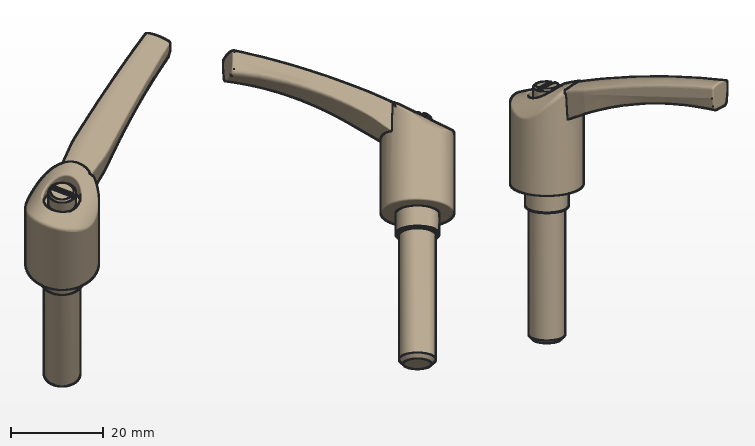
import cadquery as cq
import math


stud_diameter = 8.0
stud_length = 30.0
stud_tip_diameter = 6.1
stud_tip_height = 1.0
collar_diameter = 9.5
collar_height = 5.0
collar_chamfer = 0.3

hub_diameter = 16.0
hub_radius = hub_diameter / 2
hub_bottom_z = collar_height
hub_bottom_fillet = 0.4
hub_edge_fillet = 0.8
crown_radius = 9.2
crown_z = 27.2
crown_slope = 0.34

recess_diameter = 8.0
recess_rim_fillet = 0.35
recess_floor_z = 24.0
screw_diameter = 6.0
screw_top_z = 27.7
screw_chamfer = 0.5
slot_width = 1.0
slot_depth = 0.6

tip_y = 44.0
tip_top_z = 35.96
tip_bottom_z = 29.9
tip_fillet = 0.4
top_arc_radius = 170.0
top_tip_slope = 0.065
bottom_arc_radius = 69.5
bottom_tip_slope = -0.06
tip_half_width = 3.08
waist_half_width = 4.2
waist_outer_y = 14.0
waist_inner_y = 12.1
root_half_width = 3.7
root_y = 7.3
root_inner_y = 5.5
shoulder_fillet = 0.7
trim_allowance = 0.5
tip_crease_z = 33.05
root_crease_z = 28.1
side_taper = 0.35
tip_corner = 1.2
root_corner = 0.3
taper_stations = 5


def lerp(start, end, fraction):
    return start + (end - start) * fraction


def crown_height(y):
    """Height of the crown line of the hub top at a given Y."""
    return crown_z + crown_slope * y


def arc_height(y, tip_z, tip_slope, radius):
    """Height at Y of an arc that passes through the tip with a given slope there."""
    tip_angle = math.atan(tip_slope)
    centre_y = tip_y + radius * math.sin(tip_angle)
    centre_z = tip_z - radius * math.cos(tip_angle)
    return centre_z + math.sqrt(radius ** 2 - (y - centre_y) ** 2)


def make_stud():
    stud = cq.Workplane("XY").workplane(offset=-stud_length).circle(stud_diameter / 2)
    stud = stud.extrude(stud_length + hub_bottom_z)
    tip_inset = (stud_diameter - stud_tip_diameter) / 2
    stud = stud.faces("<Z").chamfer(stud_tip_height, tip_inset)
    collar = cq.Workplane("XY").circle(collar_diameter / 2).extrude(collar_height)
    collar = collar.faces("<Z").chamfer(collar_chamfer)
    return stud.union(collar)


def make_hub():
    """Upright cylinder topped by a barrel surface that climbs towards the handle."""
    column_height = crown_height(hub_radius) - hub_bottom_z + hub_edge_fillet
    column = cq.Workplane("XY").workplane(offset=hub_bottom_z).circle(hub_radius)
    column = column.extrude(column_height)

    barrel_start_y = -2 * hub_radius
    slope_angle = math.atan(crown_slope)
    axis_drop = crown_radius / math.cos(slope_angle)
    barrel_plane = cq.Plane(
        origin=(0, barrel_start_y, crown_height(barrel_start_y) - axis_drop),
        xDir=(-1, 0, 0),
        normal=(0, math.cos(slope_angle), math.sin(slope_angle)),
    )
    barrel_length = 2.5 * hub_diameter
    barrel = (
        cq.Workplane(barrel_plane)
        .moveTo(-crown_radius, 0)
        .threePointArc((0, crown_radius), (crown_radius, 0))
        .lineTo(crown_radius, -hub_diameter * 2)
        .lineTo(-crown_radius, -hub_diameter * 2)
        .close()
        .extrude(barrel_length)
    )
    hub = column.intersect(barrel)
    return hub.faces("<Z").edges().fillet(hub_bottom_fillet)


def handle_section(y, half_width):
    """Flat-topped handle outline, square to Y, reaching above the finished top."""
    reach = (y - root_y) / (tip_y - root_y)
    top = arc_height(y, tip_top_z, top_tip_slope, top_arc_radius)
    bottom = arc_height(y, tip_bottom_z, bottom_tip_slope, bottom_arc_radius)
    crease = lerp(root_crease_z, tip_crease_z, reach)
    corner = lerp(root_corner, tip_corner, reach)
    low_half = half_width - side_taper
    corner_mid_x = low_half - corner * (1 - math.sqrt(0.5))
    corner_mid_z = bottom + corner * (1 - math.sqrt(0.5))

    plane = cq.Plane(origin=(0, y, 0), xDir=(1, 0, 0), normal=(0, -1, 0))
    outline = (
        cq.Workplane(plane)
        .moveTo(-half_width, top + trim_allowance)
        .lineTo(half_width, top + trim_allowance)
        .lineTo(half_width, crease)
        .lineTo(low_half, bottom + corner)
        .threePointArc((corner_mid_x, corner_mid_z), (low_half - corner, bottom))
        .lineTo(corner - low_half, bottom)
        .threePointArc((-corner_mid_x, corner_mid_z), (-low_half, bottom + corner))
        .lineTo(-half_width, crease)
        .close()
    )
    return outline.val()


def make_top_envelope():
    """Ring whose outside is the handle top: bowed along Y and crowned across X."""
    tip_angle = math.atan(top_tip_slope)
    centre_y = tip_y + top_arc_radius * math.sin(tip_angle)
    centre_z = tip_top_z - top_arc_radius * math.cos(tip_angle)
    edge_radius = top_arc_radius - crown_radius + math.sqrt(crown_radius ** 2 - hub_radius ** 2)
    core_radius = top_arc_radius - hub_diameter
    profile = (
        cq.Workplane(cq.Plane(origin=(0, centre_y, centre_z), xDir=(1, 0, 0), normal=(0, -1, 0)))
        .moveTo(-hub_radius, core_radius)
        .lineTo(-hub_radius, edge_radius)
        .threePointArc((0, top_arc_radius), (hub_radius, edge_radius))
        .lineTo(hub_radius, core_radius)
        .close()
    )
    return profile.revolve(360, (0, 0, 0), (1, 0, 0))


def loft(sections):
    return cq.Workplane(obj=cq.Solid.makeLoft(sections))


def make_handle():
    """Long tapering grip, a short straight waist and a narrowing root."""
    grip_sections = []
    for index in range(taper_stations):
        fraction = index / (taper_stations - 1)
        y = lerp(tip_y, waist_outer_y, fraction)
        grip_sections.append(handle_section(y, lerp(tip_half_width, waist_half_width, fraction)))
    waist = handle_section(waist_inner_y, waist_half_width)
    root = handle_section(root_y, root_half_width)
    inner_root = handle_section(root_inner_y, root_half_width)

    handle = loft(grip_sections).union(loft([grip_sections[-1], waist]))
    handle = handle.union(loft([waist, root])).union(loft([root, inner_root]))
    handle = handle.intersect(make_top_envelope())
    end_margin = 0.1
    between_ends = cq.selectors.BoxSelector(
        (-hub_radius, root_inner_y + end_margin, 0),
        (hub_radius, tip_y - end_margin, 2 * tip_top_z),
    )
    handle = handle.faces("%TORUS").edges(between_ends).fillet(shoulder_fillet)
    return handle.faces(">Y").edges().fillet(tip_fillet)


def round_hub_edge(body):
    """Round the one long edge that runs around the hub top from one handle side to the other."""
    near_axis = cq.selectors.BoxSelector(
        (-collar_diameter / 2, -1, hub_bottom_z + hub_radius),
        (collar_diameter / 2, 1, tip_top_z),
    )
    return body.edges(near_axis).fillet(hub_edge_fillet)


def cut_recess(body):
    recess = cq.Workplane("XY").workplane(offset=recess_floor_z).circle(recess_diameter / 2)
    body = body.cut(recess.extrude(tip_top_z - recess_floor_z))
    reach = recess_diameter / 2 + recess_rim_fillet
    rim_box = cq.selectors.BoxSelector(
        (-reach, -reach, recess_floor_z + recess_rim_fillet),
        (reach, reach, tip_top_z),
        boundingbox=True,
    )
    return body.edges(rim_box).fillet(recess_rim_fillet)


def make_screw():
    screw = cq.Workplane("XY").workplane(offset=hub_bottom_z).circle(screw_diameter / 2)
    screw = screw.extrude(screw_top_z - hub_bottom_z).faces(">Z").chamfer(screw_chamfer)
    slot = cq.Workplane("XY").workplane(offset=screw_top_z - slot_depth)
    slot = slot.rect(screw_diameter, slot_width).extrude(slot_depth)
    return screw.cut(slot)


body = round_hub_edge(make_hub().union(make_handle()))
result = cut_recess(body).union(make_stud()).union(make_screw())